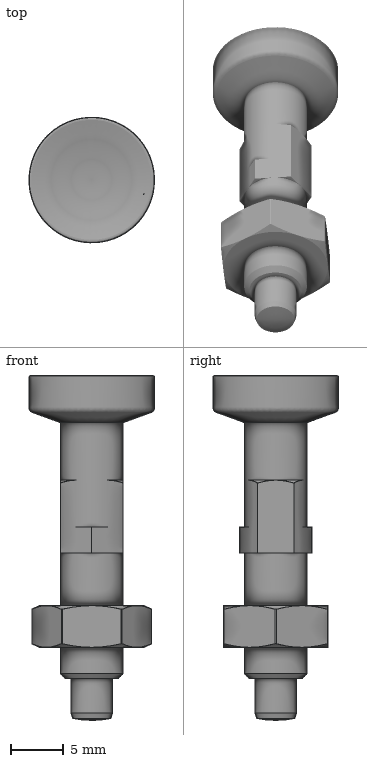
import cadquery as cq
import math

PIN_TOP = 4.0
NUT_BOTTOM = 7.0
NUT_HEIGHT = 4.0
HEX_BOTTOM = 16.0
SLOT_FLOOR = 18.5
HEX_TOP = 23.0
KNOB_BOTTOM = 28.5
TOTAL_HEIGHT = 33.0

SHAFT_RADIUS = 3.0
SHAFT_CHAMFER = 0.5
PIN_DIAMETER = 4.0
PIN_RADIUS = PIN_DIAMETER / 2
PIN_END_RADIUS = 1.8
PIN_TAPER_TOP = 0.73
PIN_DOME_HEIGHT = 0.2

NUT_ACROSS_FLATS = 10.0
NUT_CORNER_RADIUS = 5.75
NUT_CHAMFER_RADIUS = NUT_ACROSS_FLATS / 2
NUT_CHAMFER_SLOPE = 25
HEX_CHAMFER_SLOPE = 30
TRIM_CLEARANCE = 0.33

KNOB_RADIUS = 6.0
KNOB_CONE_SLOPE = 20
KNOB_LOWER_ROUND = 0.5
KNOB_RIM_ROUND = 0.15
DISH_RADIUS = 5.75
DISH_DEPTH = 0.95


def chamfer_cone(top_radius, outer_radius, slope, bottom, top):
    """Solid of revolution with a conical upper edge that trims hexagon corners."""
    drop = (outer_radius - top_radius) * math.tan(math.radians(slope))
    outline = [(0, bottom), (outer_radius, bottom), (outer_radius, top - drop), (top_radius, top), (0, top)]
    return cq.Workplane("XZ").polyline(outline).close().revolve(360, (0, 0, 0), (0, 1, 0))


def make_pin():
    """Plunger pin with a tapered edge and a shallow domed end."""
    dome_radius = (PIN_END_RADIUS**2 + PIN_DOME_HEIGHT**2) / (2 * PIN_DOME_HEIGHT)
    half_width = PIN_END_RADIUS / 2
    dome_middle = (half_width, dome_radius - math.sqrt(dome_radius**2 - half_width**2))
    return (
        cq.Workplane("XZ")
        .moveTo(0, PIN_TOP)
        .lineTo(PIN_RADIUS, PIN_TOP)
        .lineTo(PIN_RADIUS, PIN_TAPER_TOP)
        .lineTo(PIN_END_RADIUS, PIN_DOME_HEIGHT)
        .threePointArc(dome_middle, (0, 0))
        .close()
        .revolve(360, (0, 0, 0), (0, 1, 0))
    )


def make_sleeve():
    """Lower shaft through the nut, chamfered at its lower end."""
    return (
        cq.Workplane("XY", origin=(0, 0, PIN_TOP))
        .circle(SHAFT_RADIUS)
        .extrude(HEX_BOTTOM - PIN_TOP)
        .faces("<Z")
        .chamfer(SHAFT_CHAMFER)
    )


def make_nut():
    """Hexagon nut with corners along X, turned slightly blunt and chamfered on both ends."""
    corner_radius = NUT_ACROSS_FLATS / math.sqrt(3)
    nut = cq.Workplane("XY").polygon(6, 2 * corner_radius).extrude(NUT_HEIGHT)
    cone = chamfer_cone(NUT_CHAMFER_RADIUS, NUT_CORNER_RADIUS, NUT_CHAMFER_SLOPE, 0, NUT_HEIGHT)
    flipped_cone = cone.mirror("XY").translate((0, 0, NUT_HEIGHT))
    return nut.intersect(cone).intersect(flipped_cone).translate((0, 0, NUT_BOTTOM))


def make_neck():
    """Round shaft from the slot floor up to the knob."""
    neck_height = KNOB_BOTTOM - SLOT_FLOOR
    return cq.Workplane("XY", origin=(0, 0, SLOT_FLOOR)).circle(SHAFT_RADIUS).extrude(neck_height)


def make_grip():
    """Neck with a hexagon around it; above the slot floor only the two X side lobes remain."""
    corner_radius = 2 * SHAFT_RADIUS / math.sqrt(3)
    base = (
        cq.Workplane("XY", origin=(0, 0, HEX_BOTTOM))
        .transformed(rotate=(0, 0, 30))
        .polygon(6, 2 * corner_radius)
        .extrude(SLOT_FLOOR - HEX_BOTTOM)
    )
    touch_x = SHAFT_RADIUS / 2
    touch_y = SHAFT_RADIUS * math.sqrt(3) / 2
    corner_y = corner_radius / 2
    lobe_outline = [
        (touch_x, touch_y),
        (SHAFT_RADIUS, corner_y),
        (SHAFT_RADIUS, -corner_y),
        (touch_x, -touch_y),
    ]
    lobe = (
        cq.Workplane("XY", origin=(0, 0, SLOT_FLOOR))
        .polyline(lobe_outline)
        .close()
        .extrude(HEX_TOP - SLOT_FLOOR)
    )
    cone = chamfer_cone(SHAFT_RADIUS, corner_radius + TRIM_CLEARANCE, HEX_CHAMFER_SLOPE, SLOT_FLOOR, HEX_TOP)
    right_lobe = lobe.intersect(cone)
    left_lobe = right_lobe.mirror("YZ")
    return make_neck().union(right_lobe).union(left_lobe).union(base)


def make_knob():
    """Round knob with a conical underside and a spherical dish on top."""
    cone_height = (KNOB_RADIUS - SHAFT_RADIUS) * math.tan(math.radians(KNOB_CONE_SLOPE))
    wall_bottom = KNOB_BOTTOM + cone_height
    knob = (
        cq.Workplane("XZ")
        .moveTo(0, KNOB_BOTTOM)
        .lineTo(SHAFT_RADIUS, KNOB_BOTTOM)
        .lineTo(KNOB_RADIUS, wall_bottom)
        .lineTo(KNOB_RADIUS, TOTAL_HEIGHT)
        .lineTo(0, TOTAL_HEIGHT)
        .close()
        .revolve(360, (0, 0, 0), (0, 1, 0))
    )
    knob = knob.faces(">Z").edges().fillet(KNOB_RIM_ROUND)
    lower_edge = cq.selectors.NearestToPointSelector((0, 0, wall_bottom))
    knob = knob.edges("%CIRCLE").edges(lower_edge).fillet(KNOB_LOWER_ROUND)
    sphere_radius = (DISH_RADIUS**2 + DISH_DEPTH**2) / (2 * DISH_DEPTH)
    sphere_center = TOTAL_HEIGHT - DISH_DEPTH + sphere_radius
    return knob.cut(cq.Workplane("XY").sphere(sphere_radius).translate((0, 0, sphere_center)))


result = (
    make_pin()
    .union(make_sleeve())
    .union(make_nut())
    .union(make_grip())
    .union(make_knob())
    .clean()
)